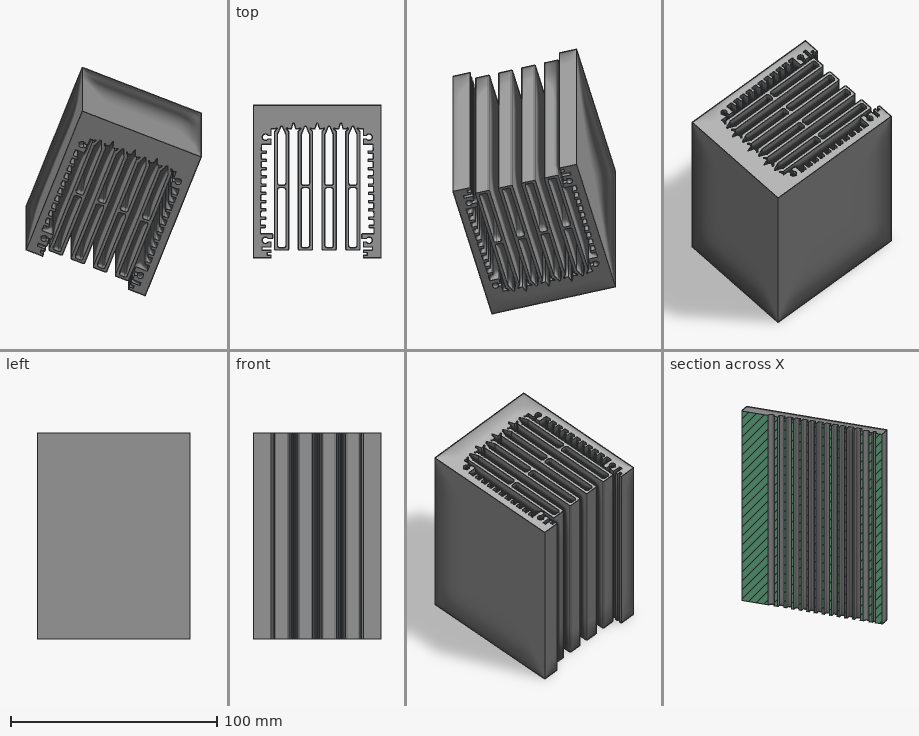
import cadquery as cq
import math

WIDTH = 62.0
DEPTH = 74.0
LENGTH = 100.0
HALF_WIDTH = WIDTH / 2

BACK_THICKNESS = 11.5
WALL_THICKNESS = 8.6

RECESS_START = 19.0
RECESS_END = 62.3
RECESS_WALL_START = 4.0
RECESS_WALL_END = 3.5
TOOTH_COUNT = 10
TOOTH_PITCH = 4.0
FIRST_TOOTH_DEPTH = 22.75
TOOTH_THICKNESS = 1.3
TOOTH_HEIGHT = 2.5
TOOTH_TIP_RADIUS = 0.5
TOOTH_ROOT_RADIUS = 0.3

CHANNEL_DEPTHS = (15.5, 65.5)
CHANNEL_INSET = 5.9
CHANNEL_RADIUS = 1.5
NECK_WIDTH = 1.6

LIP_INSET = 9.5
LIP_END = CHANNEL_DEPTHS[1] - NECK_WIDTH / 2
LIP_RADIUS = 0.6

WALL_GROOVES = (
    (68.75, 1.5, 4.3),
    (71.4, 1.3, 6.8),
)

FIN_COUNT = 4
FIN_PITCH = 11.5
FIN_WIDTH = 7.0
FIN_END = 70.2
FIN_CORNER_RADIUS = 0.6
FIN_WALL = 1.5
FIN_END_WALL = 1.2
FIN_WEB_START = 38.8
FIN_WEB_THICKNESS = 1.2
CELL_WIDTH = FIN_WIDTH - 2 * FIN_WALL
CELL_RADIUS = 1.0
CELL_TIP_DEPTH = 10.3
CELL_TIP_WIDTH = 0.7
CELL_SHOULDER_DEPTH = 14.2

UNDERCUT_RADIUS = 0.3
UNDERCUT_OFFSET = 2.55
UNDERCUT_DEPTH = 11.35
UNDERCUT_RUNOUT_DEPTH = 12.8

VEE_TIP_DEPTH = 8.7
VEE_TIP_WIDTH = 0.4
VEE_MOUTH_WIDTH = 2.2

FIN_CENTRES = [(i - (FIN_COUNT - 1) / 2) * FIN_PITCH for i in range(FIN_COUNT)]


def prism(points):
    """Full-length prism over an outline of (x, depth) points."""
    return cq.Workplane("XY").polyline([(x, -d) for x, d in points]).close().extrude(LENGTH)


def bar(x_min, x_max, start, end):
    """Full-length rectangular bar between two X values and two depths."""
    return prism([(x_min, start), (x_max, start), (x_max, end), (x_min, end)])


def rod(x, depth, radius):
    """Full-length cylinder along Z."""
    return cq.Workplane("XY").center(x, -depth).circle(radius).extrude(LENGTH)


def recess_floor(depth):
    """X of the left recess floor at a given depth."""
    fraction = (depth - RECESS_START) / (RECESS_END - RECESS_START)
    wall = RECESS_WALL_START + fraction * (RECESS_WALL_END - RECESS_WALL_START)
    return -HALF_WIDTH + wall


def toothed_recess(wall_face):
    """Volume of the left recess, with the teeth on its floor left standing."""
    recess = prism([
        (recess_floor(RECESS_START), RECESS_START),
        (wall_face, RECESS_START),
        (wall_face, RECESS_END),
        (recess_floor(RECESS_END), RECESS_END),
    ])
    for i in range(TOOTH_COUNT):
        depth = FIRST_TOOTH_DEPTH + i * TOOTH_PITCH
        tip = recess_floor(depth) + TOOTH_HEIGHT
        tooth = bar(-HALF_WIDTH, tip, depth - TOOTH_THICKNESS / 2, depth + TOOTH_THICKNESS / 2)
        recess = recess.cut(tooth.edges("|Z and >X").fillet(TOOTH_TIP_RADIUS))

    last_tooth_depth = FIRST_TOOTH_DEPTH + (TOOTH_COUNT - 1) * TOOTH_PITCH
    root_box = cq.selectors.BoxSelector(
        (-HALF_WIDTH, -FIRST_TOOTH_DEPTH + TOOTH_THICKNESS, 0),
        (recess_floor(RECESS_START) + TOOTH_ROOT_RADIUS, -last_tooth_depth - TOOTH_THICKNESS, LENGTH),
    )
    return recess.edges("|Z").edges(root_box).fillet(TOOTH_ROOT_RADIUS)


def left_half_shell():
    """Left wall with its half of the back plate."""
    wall_face = -HALF_WIDTH + WALL_THICKNESS
    shell = bar(-HALF_WIDTH, 0, 0, BACK_THICKNESS)
    shell = shell.union(bar(-HALF_WIDTH, wall_face, 0, DEPTH))

    shell = shell.cut(toothed_recess(wall_face))

    lip = bar(-HALF_WIDTH + CHANNEL_INSET, -HALF_WIDTH + LIP_INSET, RECESS_END, LIP_END)
    shell = shell.union(lip.edges("|Z and >X").fillet(LIP_RADIUS))

    channel_x = -HALF_WIDTH + CHANNEL_INSET
    for depth in CHANNEL_DEPTHS:
        shell = shell.cut(rod(channel_x, depth, CHANNEL_RADIUS))
        shell = shell.cut(bar(channel_x, wall_face, depth - NECK_WIDTH / 2, depth + NECK_WIDTH / 2))
    for start, width, floor_inset in WALL_GROOVES:
        shell = shell.cut(bar(-HALF_WIDTH + floor_inset, wall_face, start, start + width))
    return shell


def fin_body(x):
    """Solid fin, rooted inside the back plate."""
    body = bar(x - FIN_WIDTH / 2, x + FIN_WIDTH / 2, VEE_TIP_DEPTH, FIN_END)
    return body.edges("|Z and <Y").fillet(FIN_CORNER_RADIUS)


def fin_cells(x):
    """The two hollow cells of a fin: a pointed inner one and a rectangular outer one."""
    half = CELL_WIDTH / 2
    half_tip = CELL_TIP_WIDTH / 2
    inner = prism([
        (x - half_tip, CELL_TIP_DEPTH),
        (x + half_tip, CELL_TIP_DEPTH),
        (x + half, CELL_SHOULDER_DEPTH),
        (x + half, FIN_WEB_START),
        (x - half, FIN_WEB_START),
        (x - half, CELL_SHOULDER_DEPTH),
    ]).edges("|Z and <Y").fillet(CELL_RADIUS)
    outer = bar(x - half, x + half, FIN_WEB_START + FIN_WEB_THICKNESS, FIN_END - FIN_END_WALL)
    return inner.union(outer.edges("|Z").fillet(CELL_RADIUS))


def root_undercut(x, side):
    """Round undercut and sloped run-out at one side (-1 or +1) of a fin root."""
    centre = (UNDERCUT_OFFSET, UNDERCUT_DEPTH)
    edge = (FIN_WIDTH / 2, UNDERCUT_RUNOUT_DEPTH)
    dx = edge[0] - centre[0]
    dd = edge[1] - centre[1]
    angle = math.atan2(dd, dx) + math.acos(UNDERCUT_RADIUS / math.hypot(dx, dd))
    tangent = (centre[0] + UNDERCUT_RADIUS * math.cos(angle),
               centre[1] + UNDERCUT_RADIUS * math.sin(angle))
    outline = [centre, tangent, edge, (FIN_WIDTH / 2, BACK_THICKNESS), (centre[0], BACK_THICKNESS)]
    slope = prism([(x + side * offset, depth) for offset, depth in outline])
    return slope.union(rod(x + side * UNDERCUT_OFFSET, UNDERCUT_DEPTH, UNDERCUT_RADIUS))


def vee_groove(x):
    """Narrow V groove in the inner face of the back plate."""
    return prism([
        (x - VEE_TIP_WIDTH / 2, VEE_TIP_DEPTH),
        (x + VEE_TIP_WIDTH / 2, VEE_TIP_DEPTH),
        (x + VEE_MOUTH_WIDTH / 2, BACK_THICKNESS),
        (x - VEE_MOUTH_WIDTH / 2, BACK_THICKNESS),
    ])


left = left_half_shell()
result = left.union(left.mirror("YZ"))
for fin_x in FIN_CENTRES:
    result = result.union(fin_body(fin_x))
for fin_x in FIN_CENTRES:
    result = result.cut(fin_cells(fin_x))
    for side in (-1, 1):
        result = result.cut(root_undercut(fin_x, side))
for fin_x in FIN_CENTRES[:-1]:
    result = result.cut(vee_groove(fin_x + FIN_PITCH / 2))